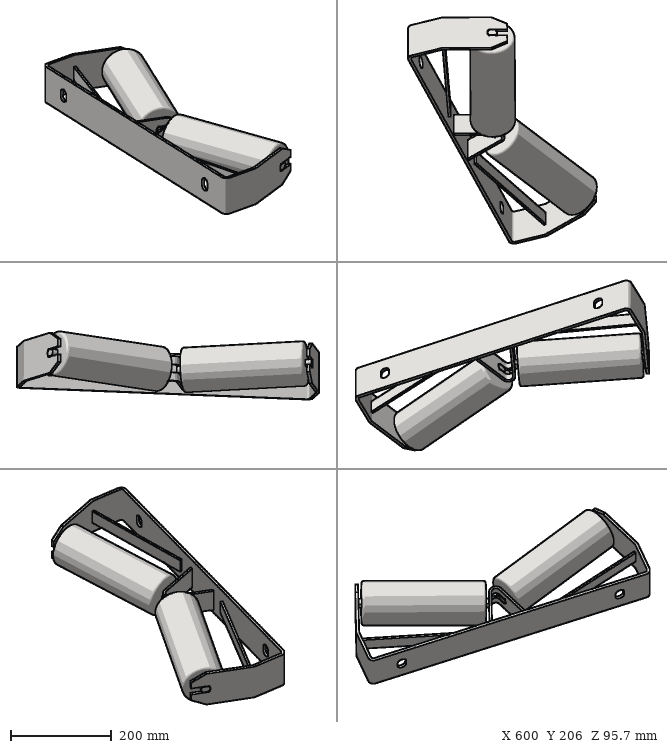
import cadquery as cq
import math

FRAME_WIDTH = 600.0
FRAME_HEIGHT = 81.0
FRAME_THICKNESS = 6.0
FRAME_BEND_RADIUS = 5.5
ARM_BEND_Y = 76.0
ARM_TIP_Y = 197.5
ARM_CHAMFER_LENGTH = 31.0
ARM_CHAMFER_HEIGHT = 17.5

MOUNT_SLOT_X = 232.0
MOUNT_SLOT_WIDTH = 18.0
MOUNT_SLOT_HEIGHT = 27.0

ROLLER_ANGLE = 20.0
ROLLER_TILT = 1.5
ROLLER_DIAMETER = 89.5
ROLLER_LENGTH = 247.0
ROLLER_FILLET = 5.5
ROLLER_GAP = 6.3
ROLLER_OFFSET = 68.5

SPINDLE_DIAMETER = 18.5
SPINDLE_FLATS = 13.0
SLOT_WIDTH = 16.0
SLOT_SEAT_DIAMETER = 20.5

SUPPORT_HEIGHT = 50.0
SUPPORT_THICKNESS = 5.1
SUPPORT_BEND_RADIUS = 9.0

STRUT_WALL_Y = 72.5
STRUT_FOOT_X = 75.0
STRUT_THICKNESS = 5.0
STRUT_HEIGHT = 30.0

COS_A = math.cos(math.radians(ROLLER_ANGLE))
SIN_A = math.sin(math.radians(ROLLER_ANGLE))
OUTWARD = cq.Vector(COS_A, SIN_A, 0)
ALONG_ARM = cq.Vector(-SIN_A, COS_A, 0)
UP = cq.Vector(0, 0, 1)

HALF_WIDTH = FRAME_WIDTH / 2
ARM_STATION = HALF_WIDTH * COS_A + ARM_BEND_Y * SIN_A
ROLLER_OUTER_STATION = ARM_STATION - FRAME_THICKNESS - ROLLER_GAP
TILT_COS = math.cos(math.radians(ROLLER_TILT))
TILT_SIN = math.sin(math.radians(ROLLER_TILT))
ROLLER_INNER_STATION = ROLLER_OUTER_STATION - ROLLER_LENGTH * TILT_COS
SUPPORT_STATION = ROLLER_INNER_STATION - ROLLER_GAP
SPINDLE_END_STATION = SUPPORT_STATION - SUPPORT_THICKNESS

MID_HEIGHT = FRAME_HEIGHT / 2


def axis_point(station):
    """Point on the +X roller axis; the axis meets the arm at mid height."""
    rise = (station - ARM_STATION) * TILT_SIN / TILT_COS
    return OUTWARD * station + ALONG_ARM * ROLLER_OFFSET + UP * (MID_HEIGHT + rise)


def both_sides(body):
    """The +X body together with its mirror copy."""
    return [body, body.mirror("YZ")]


def bent_strip(path, thickness, bend_radius, height):
    """Sheet strip standing on Z=0; path is its outer face, with the sheet on the left of travel."""
    points = [cq.Vector(x, y, 0) for x, y in path]
    normals = []
    for start, end in zip(points, points[1:]):
        normals.append(UP.cross((end - start).normalized()))
    before = [normals[0]] + normals
    after = normals + [normals[-1]]
    inner = []
    for point, n1, n2 in zip(points, before, after):
        inner.append(point + (n1 + n2) * (thickness / (1 + n1.dot(n2))))
    outline = [(p.x, p.y) for p in points + inner[::-1]]
    strip = cq.Workplane("XY").polyline(outline).close().extrude(height)
    for outer_corner, inner_corner in zip(points[1:-1], inner[1:-1]):
        for corner, radius in ((outer_corner, bend_radius + thickness), (inner_corner, bend_radius)):
            middle = corner + UP * (height / 2)
            edge = cq.selectors.NearestToPointSelector(middle.toTuple())
            strip = strip.edges("|Z").edges(edge).fillet(radius)
    return strip


def flatted_bar(plane, diameter, flats, length):
    """Round bar with two flats, one facing up and one facing down."""
    bar = cq.Workplane(plane).circle(diameter / 2).extrude(length)
    return bar.intersect(cq.Workplane(plane).rect(2 * diameter, flats).extrude(length))


def spindle_slot(station, depth, reach):
    """Cutter for a slot that seats the spindle and opens along the sheet toward ALONG_ARM."""
    start = axis_point(station) - OUTWARD * (depth / 2)
    plane = cq.Plane(origin=start, xDir=ALONG_ARM, normal=OUTWARD)
    seat = flatted_bar(plane, SLOT_SEAT_DIAMETER, SLOT_WIDTH, depth)
    channel = cq.Workplane(plane).center(reach / 2, 0).rect(reach, SLOT_WIDTH).extrude(depth)
    return seat.union(channel)


def make_frame():
    tip_x = HALF_WIDTH - (ARM_TIP_Y - ARM_BEND_Y) * SIN_A / COS_A
    path = [
        (-tip_x, ARM_TIP_Y),
        (-HALF_WIDTH, ARM_BEND_Y),
        (-HALF_WIDTH, 0),
        (HALF_WIDTH, 0),
        (HALF_WIDTH, ARM_BEND_Y),
        (tip_x, ARM_TIP_Y),
    ]
    frame = bent_strip(path, FRAME_THICKNESS, FRAME_BEND_RADIUS, FRAME_HEIGHT)

    mount_slots = (
        cq.Workplane("XZ")
        .pushPoints([(-MOUNT_SLOT_X, MID_HEIGHT), (MOUNT_SLOT_X, MID_HEIGHT)])
        .slot2D(MOUNT_SLOT_HEIGHT, MOUNT_SLOT_WIDTH, 90)
        .extrude(-FRAME_THICKNESS)
    )
    frame = frame.cut(mount_slots)

    tip = cq.Vector(tip_x, ARM_TIP_Y, 0)
    tip_plane = cq.Plane(origin=tip, xDir=ALONG_ARM, normal=OUTWARD)
    for edge_z, inward in ((0, 1), (FRAME_HEIGHT, -1)):
        corner = [
            (0, edge_z),
            (-ARM_CHAMFER_LENGTH, edge_z),
            (0, edge_z + inward * ARM_CHAMFER_HEIGHT),
        ]
        wedge = cq.Workplane(tip_plane).polyline(corner).close().extrude(-FRAME_THICKNESS)
        for cutter in both_sides(wedge):
            frame = frame.cut(cutter)

    slot_depth = 2 * FRAME_THICKNESS
    slot = spindle_slot(ARM_STATION - FRAME_THICKNESS / 2, slot_depth, ARM_TIP_Y - ARM_BEND_Y)
    for cutter in both_sides(slot):
        frame = frame.cut(cutter)
    return frame


def make_support():
    mid_station = SUPPORT_STATION - SUPPORT_THICKNESS / 2
    peak_y = SUPPORT_STATION / SIN_A
    foot_x = SUPPORT_STATION / COS_A
    path = [(foot_x, 0), (0, peak_y), (-foot_x, 0)]
    support = bent_strip(path, SUPPORT_THICKNESS, SUPPORT_BEND_RADIUS, SUPPORT_HEIGHT)
    plate_space = cq.Workplane("XY").rect(FRAME_WIDTH, 2 * FRAME_THICKNESS).extrude(SUPPORT_HEIGHT)
    support = support.cut(plate_space)
    support = support.translate((0, 0, axis_point(mid_station).z - SUPPORT_HEIGHT / 2))

    slot_depth = 2 * (SUPPORT_BEND_RADIUS + SUPPORT_THICKNESS)
    slot = spindle_slot(mid_station, slot_depth, peak_y)
    for cutter in both_sides(slot):
        support = support.cut(cutter)
    return support


def make_strut():
    wall_corner = cq.Vector(HALF_WIDTH - FRAME_THICKNESS, STRUT_WALL_Y, MID_HEIGHT)
    foot_corner = cq.Vector(STRUT_FOOT_X, FRAME_THICKNESS, MID_HEIGHT)
    run = wall_corner - foot_corner
    plane = cq.Plane(origin=foot_corner, xDir=run, normal=UP)
    return cq.Workplane(plane).box(run.Length, STRUT_THICKNESS, STRUT_HEIGHT, centered=(False, False, True))


def make_roller():
    axis = OUTWARD * TILT_COS + UP * TILT_SIN
    barrel_plane = cq.Plane(origin=axis_point(ROLLER_INNER_STATION), xDir=ALONG_ARM, normal=axis)
    barrel = cq.Workplane(barrel_plane).circle(ROLLER_DIAMETER / 2).extrude(ROLLER_LENGTH)
    barrel = barrel.edges().fillet(ROLLER_FILLET)
    spindle_plane = cq.Plane(origin=axis_point(SPINDLE_END_STATION), xDir=ALONG_ARM, normal=axis)
    spindle_length = (ARM_STATION - SPINDLE_END_STATION) / TILT_COS
    spindle = flatted_bar(spindle_plane, SPINDLE_DIAMETER, SPINDLE_FLATS, spindle_length)
    return barrel.union(spindle)


frame = make_frame()
support = make_support()
struts = both_sides(make_strut())
rollers = both_sides(make_roller())

result = cq.Compound.makeCompound(
    [frame.val(), support.val()]
    + [strut.val() for strut in struts]
    + [roller.val() for roller in rollers]
)